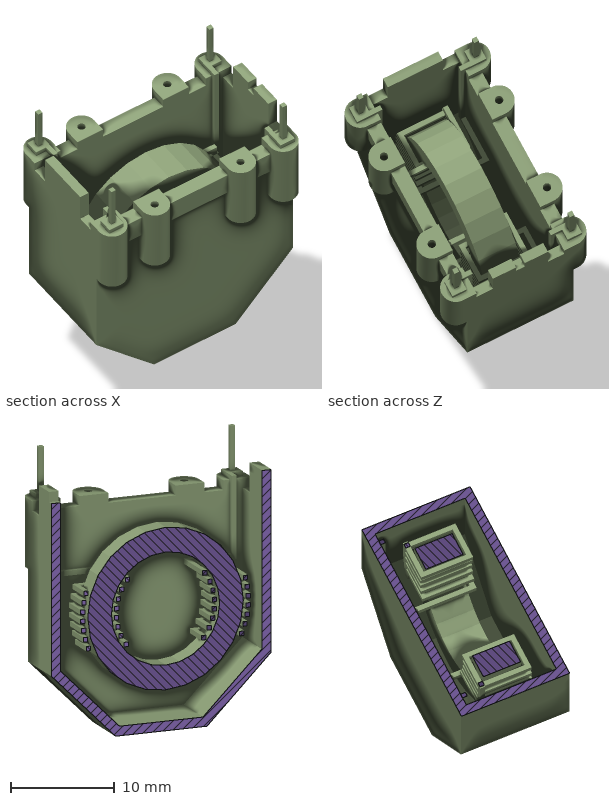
import cadquery as cq
import math

WIDTH = 15.5
LENGTH = 23.0
WALL = 1.0
INNER_HALF_WIDTH = 4.75
BOTTOM_CHAMFER = 6.72
RIM_BOTTOM = 19.6
WALL_TOP = 22.0
LUG_BOTTOM = 16.0
LUG_TOP = 23.0
TAB_TOP = 25.0
TAB_WIDTH = 6.0
TAB_NOTCH_WIDTH = 0.95
TAB_NOTCH_DEPTH = 1.0
LUG_WIDTH = 3.0
LUG_INNER_Y = 5.0
LUG_HOLE_DIAMETER = 0.8
LUG_HOLE_DEPTH = 3.5

CORE_Y = -0.45
CORE_Z = 12.25
CORE_WIDTH = 4.0
CORE_SIDES = 24
CORE_OUTER_RADIUS = 8.15
CORE_INNER_RADIUS = 5.63

WIRE = 0.5
COIL_GAP = 0.25
TURNS = 7
TURN_PITCH = 0.92
COIL_LIFT = 0.08
PAD_LENGTH_X = 1.55
PAD_LENGTH_Y = 1.65
PIN_TOP = 28.0

HALF_LENGTH = LENGTH / 2
RIM_HALF_WIDTH = WIDTH / 2 - LUG_WIDTH / 2
RIM_WALL = RIM_HALF_WIDTH - INNER_HALF_WIDTH
BODY_HALF_WIDTH = INNER_HALF_WIDTH + WALL
LUG_END_Y = HALF_LENGTH - LUG_WIDTH / 2
COIL_X = CORE_WIDTH / 2 + COIL_GAP + WIRE / 2
HALF_COIL_HEIGHT = TURNS * TURN_PITCH / 2
DROP_X = INNER_HALF_WIDTH - WIRE / 2
DROP_Y = LUG_END_Y - PAD_LENGTH_Y / 2 + WIRE / 2
PAD_Z = LUG_TOP + WIRE / 2


def block(x_range, y_range, z_range):
    """Box spanning the given (low, high) ranges."""
    sizes = [high - low for low, high in (x_range, y_range, z_range)]
    return cq.Workplane("XY").box(*sizes, centered=False).translate((x_range[0], y_range[0], z_range[0]))


def chamfered_prism(half_width, inset, top):
    """Prism along X whose six-sided YZ outline lies `inset` inside the housing's outside."""
    half_length = HALF_LENGTH - inset
    flat_half_length = HALF_LENGTH - BOTTOM_CHAMFER - inset * math.tan(math.radians(22.5))
    slope_height = half_length - flat_half_length
    outline = [
        (-half_length, top),
        (-half_length, inset + slope_height),
        (-flat_half_length, inset),
        (flat_half_length, inset),
        (half_length, inset + slope_height),
        (half_length, top),
    ]
    return cq.Workplane("YZ").polyline(outline).close().extrude(half_width, both=True)


def lug(side, y):
    """Round-ended lug on one side wall, reaching from the cavity face outwards."""
    height = LUG_TOP - LUG_BOTTOM
    base = cq.Workplane("XY").workplane(offset=LUG_BOTTOM)
    square = base.center(side * (RIM_HALF_WIDTH - RIM_WALL / 2), y).rect(RIM_WALL, LUG_WIDTH).extrude(height)
    boss = base.center(side * RIM_HALF_WIDTH, y).circle(LUG_WIDTH / 2).extrude(height)
    return square.union(boss)


def make_housing():
    body = chamfered_prism(BODY_HALF_WIDTH, 0, WALL_TOP)
    body = body.union(
        block((-RIM_HALF_WIDTH, RIM_HALF_WIDTH), (-HALF_LENGTH, HALF_LENGTH), (RIM_BOTTOM, WALL_TOP))
    )
    body = body.cut(chamfered_prism(INNER_HALF_WIDTH, WALL, TAB_TOP))

    for side in (-1, 1):
        for y in (-LUG_END_Y, -LUG_INNER_Y, LUG_INNER_Y, LUG_END_Y):
            body = body.union(lug(side, y))

    for end in (-1, 1):
        tab = cq.Workplane("XY").box(TAB_WIDTH, WALL, TAB_TOP - WALL_TOP)
        body = body.union(tab.translate((0, end * (HALF_LENGTH - WALL / 2), (TAB_TOP + WALL_TOP) / 2)))

    half_notch = TAB_NOTCH_WIDTH / 2
    body = body.cut(
        block((-half_notch, half_notch), (HALF_LENGTH - WALL, HALF_LENGTH), (TAB_TOP - TAB_NOTCH_DEPTH, TAB_TOP))
    )

    hole_centres = [
        (side * RIM_HALF_WIDTH, y) for side in (-1, 1) for y in (-LUG_INNER_Y, LUG_INNER_Y)
    ]
    holes = (
        cq.Workplane("XY")
        .workplane(offset=LUG_TOP - LUG_HOLE_DEPTH)
        .pushPoints(hole_centres)
        .circle(LUG_HOLE_DIAMETER / 2)
        .extrude(LUG_HOLE_DEPTH)
    )
    return body.cut(holes)


def make_core():
    return (
        cq.Workplane("YZ")
        .center(CORE_Y, CORE_Z)
        .polygon(CORE_SIDES, 2 * CORE_OUTER_RADIUS)
        .polygon(CORE_SIDES, 2 * CORE_INNER_RADIUS)
        .extrude(CORE_WIDTH)
        .translate((-CORE_WIDTH / 2, 0, 0))
    )


def wire_along(points):
    """Square wire with square corners through points joined by axis-parallel runs."""
    wire = None
    for start, end in zip(points, points[1:]):
        ranges = [(min(a, b) - WIRE / 2, max(a, b) + WIRE / 2) for a, b in zip(start, end)]
        run = block(*ranges)
        wire = run if wire is None else wire.union(run)
    return wire


def coil_y(end, radius, height):
    """Y of a coil bar that follows a circle around the core axis, at a height above that axis."""
    return CORE_Y + end * math.sqrt(radius**2 - height**2)


def inner_bar_y(end, height):
    return coil_y(end, CORE_INNER_RADIUS - COIL_GAP, height) - end * WIRE / 2


def outer_bar_y(end, height):
    return coil_y(end, CORE_OUTER_RADIUS + COIL_GAP, height) + end * WIRE / 2


def terminal(side, end, height, inner_x):
    """Pin, pad and lead that drops along the side wall and runs in to the coil at `inner_x`."""
    pin_x = side * RIM_HALF_WIDTH
    pin_y = end * LUG_END_Y
    pad = cq.Workplane("XY").box(PAD_LENGTH_X, PAD_LENGTH_Y, WIRE).translate((pin_x, pin_y, PAD_Z))
    pin = cq.Workplane("XY").box(WIRE, WIRE, PIN_TOP - PAD_Z).translate((pin_x, pin_y, (PIN_TOP + PAD_Z) / 2))
    lead_y = inner_bar_y(end, height)
    lead_z = CORE_Z + height
    lead = wire_along([
        (pin_x, end * DROP_Y, PAD_Z),
        (side * DROP_X, end * DROP_Y, PAD_Z),
        (side * DROP_X, end * DROP_Y, lead_z),
        (side * DROP_X, lead_y, lead_z),
        (inner_x, lead_y, lead_z),
    ])
    return pad.union(pin).union(lead)


def make_winding(end):
    """Rectangular coil around one end of the core, with the +X terminal feeding its top turn."""
    top_height = HALF_COIL_HEIGHT + end * COIL_LIFT
    height = top_height
    path = [
        (COIL_X, inner_bar_y(end, height), CORE_Z + height),
        (-COIL_X, inner_bar_y(end, height), CORE_Z + height),
    ]
    for _ in range(TURNS):
        next_height = height - TURN_PITCH
        outer_y = outer_bar_y(end, next_height)
        inner_y = inner_bar_y(end, next_height)
        path += [
            (-COIL_X, outer_y, CORE_Z + height),
            (-COIL_X, outer_y, CORE_Z + next_height),
            (COIL_X, outer_y, CORE_Z + next_height),
            (COIL_X, inner_y, CORE_Z + next_height),
            (-COIL_X, inner_y, CORE_Z + next_height),
        ]
        height = next_height
    return wire_along(path).union(terminal(1, end, top_height, COIL_X))


def make_return_terminal(end):
    """The -X terminal, whose lead butts against the end of the lowest turn."""
    bottom_height = end * COIL_LIFT - HALF_COIL_HEIGHT
    return terminal(-1, end, bottom_height, -COIL_X - WIRE)


housing = make_housing()
core = make_core()
windings = [make_winding(end) for end in (-1, 1)]
return_terminals = [make_return_terminal(end) for end in (-1, 1)]

result = cq.Compound.makeCompound([
    housing.val(),
    core.val(),
    *[winding.val() for winding in windings],
    *[return_terminal.val() for return_terminal in return_terminals],
])